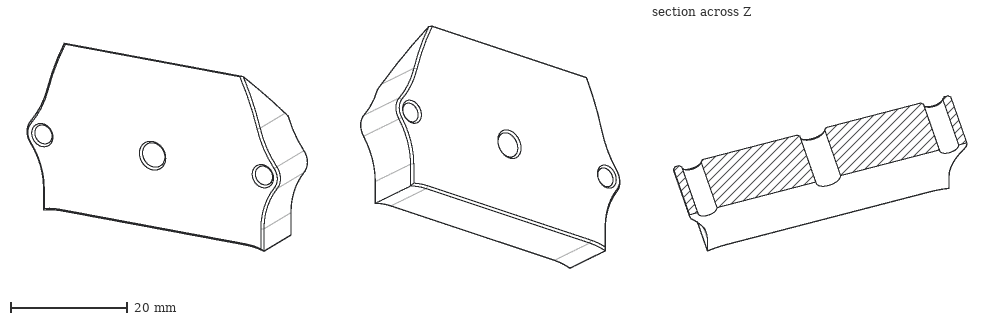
import cadquery as cq
import math

THICKNESS = 10.0
TOP_Z = 17.4
HEIGHT = 31.26
CORNER_Z = TOP_Z - HEIGHT
TOP_HALF_WIDTH = 17.65

EAR_X = 21.75
EAR_RADIUS = 3.25
EAR_TIP_X = EAR_X + EAR_RADIUS
EAR_UPPER_ANGLE = math.radians(38.5)

LOWER_FLANK_Z = -9.75
LOWER_FLANK_RADIUS = (LOWER_FLANK_Z**2 - EAR_RADIUS**2) / (2 * EAR_RADIUS)
EAR_LOWER_ANGLE = math.atan2(-LOWER_FLANK_Z, LOWER_FLANK_RADIUS)

FLANK_TURN_X = 21.0
FLANK_TURN_Z = 8.54

BOTTOM_RISE = 0.5
BOTTOM_Z = CORNER_Z + BOTTOM_RISE
BOTTOM_FLAT_HALF_WIDTH = 18.25

EDGE_CHAMFER = 0.4
CENTRE_HOLE_DIAMETER = 4.4
EAR_HOLE_DIAMETER = 3.4


def ear_point(angle):
    """Point on the left ear, measured upward from its outermost point."""
    return (-EAR_X - EAR_RADIUS * math.cos(angle), EAR_RADIUS * math.sin(angle))


def make_plate():
    """Symmetric outline, drawn up the left side and mirrored, then extruded to the back."""
    return (
        cq.Workplane("XZ")
        .moveTo(0, BOTTOM_Z)
        .lineTo(-BOTTOM_FLAT_HALF_WIDTH, BOTTOM_Z)
        .tangentArcPoint((-EAR_X, CORNER_Z), relative=False)
        .lineTo(-EAR_X, LOWER_FLANK_Z)
        .tangentArcPoint(ear_point(-EAR_LOWER_ANGLE), relative=False)
        .threePointArc((-EAR_TIP_X, 0), ear_point(EAR_UPPER_ANGLE))
        .tangentArcPoint((-FLANK_TURN_X, FLANK_TURN_Z), relative=False)
        .tangentArcPoint((-TOP_HALF_WIDTH, TOP_Z), relative=False)
        .lineTo(0, TOP_Z)
        .mirrorY()
        .extrude(-THICKNESS)
    )


def chamfer_front(plate):
    """Bevel every front edge except the straight top one."""
    front_edges = plate.faces("<Y").edges()
    top_edge = plate.faces("<Y").edges(">Z")
    bevelled = [edge for edge in front_edges.vals() if not edge.isSame(top_edge.val())]
    return plate.newObject(bevelled).chamfer(EDGE_CHAMFER)


def make_slope_cutter():
    """Wedge above the 45 degree slope, which starts just behind the front bevel."""
    slope_run = THICKNESS - EDGE_CHAMFER
    return (
        cq.Workplane("YZ")
        .moveTo(EDGE_CHAMFER, TOP_Z)
        .lineTo(THICKNESS, TOP_Z - slope_run)
        .lineTo(THICKNESS, TOP_Z)
        .close()
        .extrude(EAR_TIP_X, both=True)
    )


def make_hole_cutter(x, diameter):
    """Through hole along Y with a bevelled mouth on the front face."""
    radius = diameter / 2
    hole = cq.Workplane("XZ").center(x, 0).circle(radius).extrude(-THICKNESS)
    mouth = cq.Solid.makeCone(
        radius + EDGE_CHAMFER, radius, EDGE_CHAMFER, pnt=cq.Vector(x, 0, 0), dir=cq.Vector(0, 1, 0)
    )
    return hole.union(cq.Workplane(obj=mouth))


result = chamfer_front(make_plate()).cut(make_slope_cutter())
result = result.cut(make_hole_cutter(0, CENTRE_HOLE_DIAMETER))
for side in (-1, 1):
    result = result.cut(make_hole_cutter(side * EAR_X, EAR_HOLE_DIAMETER))